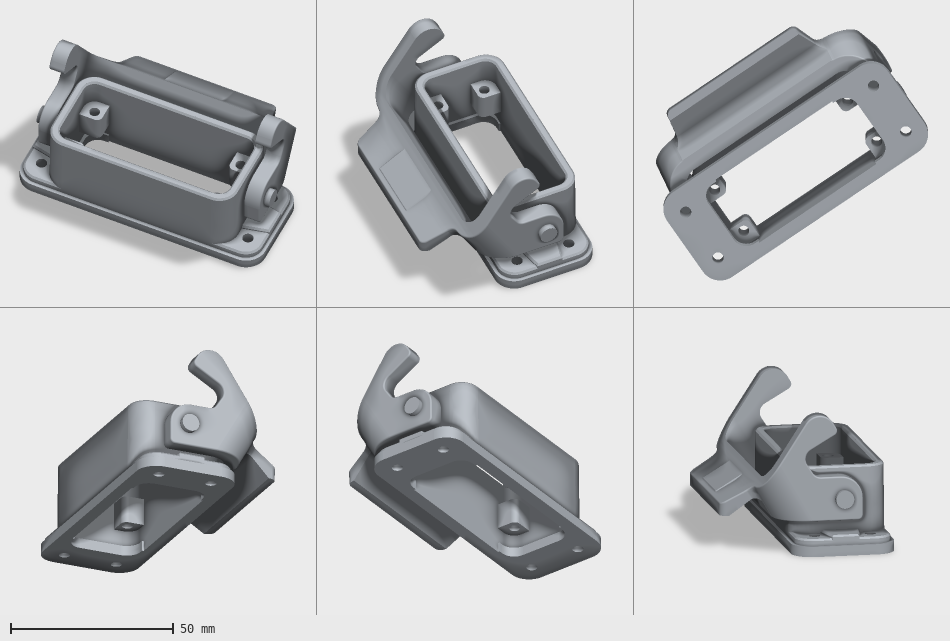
import cadquery as cq
import math

BASE_LENGTH = 82.9
BASE_WIDTH = 32.4
BASE_THICKNESS = 3.2
BASE_CORNER_RADIUS = 6.5
BASE_STEP_INSET = 0.9
STEP_TOP_Z = 5.4
STEP_LENGTH = BASE_LENGTH - 2 * BASE_STEP_INSET - 0.3
STEP_WIDTH = 30.2
STEP_CORNER_RADIUS = 5.6
EDGE_BREAK = 0.6
HOUSING_LENGTH = 63.7
HOUSING_TOP_Z = 26.3
HOUSING_CORNER_RADIUS = 6.5
OUTER_DRAFT_ANGLE = 0.7

CAVITY_LENGTH = 57.7
CAVITY_WIDTH = 24.05
CAVITY_CORNER_RADIUS = 3.8
LEDGE_START_X = 21.9
LEDGE_OPENING_LENGTH = 55.7
LEDGE_OPENING_WIDTH = 22.9
LEDGE_CORNER_RADIUS = 4.6

POST_INNER_X = 21.7
POST_INNER_Y = 5.05
POST_BOTTOM_Z = 8.6
POST_TOP_Z = 17.25
POST_EDGE_RADIUS = 1.9
POST_HOLE_X = 24.9
POST_HOLE_Y = 7.9
POST_HOLE_DIAMETER = 3.3

MOUNT_HOLE_X = 35.15
MOUNT_HOLE_Y = 8.8
MOUNT_HOLE_DIAMETER = 3.5
PAD_TOP_Z = 6.4
PAD_OUTER_HALF_WIDTH = 4.2
PAD_INNER_HALF_WIDTH = 6.3

LEVER_TILT = 30.0
LEVER_HALF_LENGTH = 37.7
ARM_THICKNESS = 5.1
BAIL_OUTER_FACE = 12.8
BAIL_WEB_THICKNESS = 3.65
BAIL_OUTER_RADIUS = 9.6
BAIL_INNER_RADIUS = 6.0
GRIP_END_Y = 36.15
GRIP_END_HALF_LENGTH = 22.9
GRIP_ROOT_HALF_LENGTH = 27.2
GRIP_CORNER_RADIUS = 2.1
GRIP_ROOT_RADIUS = 3.2
GRIP_REACH = 29.85
LEVER_BOTTOM_Z = 10.4
LEVER_EDGE_RADIUS = 0.5
LEVER_REACH = 66.3

PIN_Z = 17.25
PIN_DIAMETER = 5.6
PIN_END_X = 39.6

PANEL_LENGTH = 19.4
PANEL_TOP_EDGE = (26.0, 20.52)
PANEL_LOW_EDGE = (34.65, 15.3)
PANEL_DEPTH = 0.8
PANEL_SIDE_ANGLE = 58.0

SIDES = (-1, 1)
CORNERS = [(sx, sy) for sx in SIDES for sy in SIDES]


def rounded_block(length, width, radius, bottom, top, draft=0.0):
    """Block with rounded upright corners; a positive draft narrows it upward."""
    outline = cq.Sketch().rect(length, width).vertices().fillet(radius)
    return cq.Workplane("XY", origin=(0, 0, bottom)).placeSketch(outline).extrude(top - bottom, taper=draft)


def rounded_outline(plane, corners):
    """Closed wire through (u, v, radius) corners, each rounded by a tangent arc."""
    wire = None
    for i, (u, v, radius) in enumerate(corners):
        corner = cq.Vector(u, v)
        to_previous = (cq.Vector(*corners[i - 1][:2]) - corner).normalized()
        to_next = (cq.Vector(*corners[(i + 1) % len(corners)][:2]) - corner).normalized()
        half_angle = to_previous.getAngle(to_next) / 2
        setback = radius / math.tan(half_angle)
        start = corner + to_previous * setback
        end = corner + to_next * setback
        bisector = (to_previous + to_next).normalized()
        middle = corner + bisector * (radius / math.sin(half_angle) - radius)
        wire = wire.lineTo(start.x, start.y) if wire else plane.moveTo(start.x, start.y)
        if radius:
            wire = wire.threePointArc((middle.x, middle.y), (end.x, end.y))
    return wire.close()


def make_base():
    flange = rounded_block(BASE_LENGTH, BASE_WIDTH, BASE_CORNER_RADIUS, 0, BASE_THICKNESS)
    step = rounded_block(
        STEP_LENGTH, STEP_WIDTH, STEP_CORNER_RADIUS, BASE_THICKNESS, STEP_TOP_Z, OUTER_DRAFT_ANGLE
    )
    base = flange.union(step.faces(">Z").edges().chamfer(EDGE_BREAK))
    for side in SIDES:
        base = base.union(make_pad(side))
    return base


def make_pad(side):
    """Raised trapezoid on a base end, widening toward the housing and flush with the step's end."""
    outer_x = STEP_LENGTH / 2
    inner_x = HOUSING_LENGTH / 2 - EDGE_BREAK
    trapezoid = (
        cq.Workplane("XY", origin=(0, 0, BASE_THICKNESS))
        .polyline([
            (side * outer_x, -PAD_OUTER_HALF_WIDTH),
            (side * outer_x, PAD_OUTER_HALF_WIDTH),
            (side * inner_x, PAD_INNER_HALF_WIDTH),
            (side * inner_x, -PAD_INNER_HALF_WIDTH),
        ])
        .close()
        .extrude(PAD_TOP_Z - BASE_THICKNESS)
    )
    pad = rounded_block(
        STEP_LENGTH, STEP_WIDTH, STEP_CORNER_RADIUS, BASE_THICKNESS, PAD_TOP_Z, OUTER_DRAFT_ANGLE
    ).intersect(trapezoid)
    housing_edge = "<X" if side > 0 else ">X"
    return pad.faces(">Z").edges("not " + housing_edge).chamfer(EDGE_BREAK)


def make_housing():
    housing = rounded_block(
        HOUSING_LENGTH, STEP_WIDTH, HOUSING_CORNER_RADIUS, BASE_THICKNESS, HOUSING_TOP_Z, OUTER_DRAFT_ANGLE
    )
    return housing.faces(">Z").edges().chamfer(EDGE_BREAK)


def make_cavity():
    """Straight opening through the housing and base, with a beveled rim."""
    opening = rounded_block(CAVITY_LENGTH, CAVITY_WIDTH, CAVITY_CORNER_RADIUS, 0, HOUSING_TOP_Z)
    rim = rounded_block(
        CAVITY_LENGTH + 2 * EDGE_BREAK,
        CAVITY_WIDTH + 2 * EDGE_BREAK,
        CAVITY_CORNER_RADIUS + EDGE_BREAK,
        HOUSING_TOP_Z - EDGE_BREAK,
        HOUSING_TOP_Z,
    )
    return opening.union(rim.faces("<Z").edges().chamfer(EDGE_BREAK * 0.999))


def make_ledges(cavity):
    """Narrow shelf around each end of the cavity, level with the base flange."""
    ring = cq.Workplane("XY").box(
        CAVITY_LENGTH, CAVITY_WIDTH, BASE_THICKNESS, centered=(True, True, False)
    )
    opening = rounded_block(
        LEDGE_OPENING_LENGTH, LEDGE_OPENING_WIDTH, LEDGE_CORNER_RADIUS, 0, BASE_THICKNESS
    )
    middle = cq.Workplane("XY").box(
        2 * LEDGE_START_X, CAVITY_WIDTH, BASE_THICKNESS, centered=(True, True, False)
    )
    return ring.cut(opening).cut(middle).intersect(cavity)


def make_post(side_x, side_y, cavity):
    """Drilled post filling one corner of the cavity at mid height."""
    length = CAVITY_LENGTH / 2 - POST_INNER_X
    width = CAVITY_WIDTH / 2 - POST_INNER_Y
    block = (
        cq.Workplane("XY")
        .box(length, width, POST_TOP_Z - POST_BOTTOM_Z, centered=False)
        .edges("|Z and <X and <Y")
        .fillet(POST_EDGE_RADIUS)
        .translate((POST_INNER_X, POST_INNER_Y, POST_BOTTOM_Z))
    )
    hole = (
        cq.Workplane("XY", origin=(POST_HOLE_X, POST_HOLE_Y, POST_BOTTOM_Z))
        .circle(POST_HOLE_DIAMETER / 2)
        .extrude(POST_TOP_Z - POST_BOTTOM_Z)
    )
    post = block.cut(hole)
    if side_x < 0:
        post = post.mirror("YZ")
    if side_y < 0:
        post = post.mirror("XZ")
    return post.intersect(cavity)


def make_lever_profile():
    """Hook, arm and grip outline as (Y, Z, rounding radius), extruded along X."""
    corners = [
        (-6.0, LEVER_BOTTOM_Z, 1.5),
        (20.9, LEVER_BOTTOM_Z, 0),
        (24.9, 17.25, 2.3),
        (33.4, LEVER_BOTTOM_Z, 0),
        (GRIP_END_Y, LEVER_BOTTOM_Z, 0),
        (GRIP_END_Y, 14.3, 0),
        (25.95, 20.0, 16.6),
        (7.5, 48.25, 5.1),
        (1.5, 38.05, 1.65),
        (13.35, 31.2, 3.2),
        (8.8, 24.2, 2.9),
        (-6.0, 24.2, 7.0),
    ]
    plane = cq.Workplane("YZ", origin=(-LEVER_HALF_LENGTH, 0, 0))
    return rounded_outline(plane, corners).extrude(2 * LEVER_HALF_LENGTH)


def make_u_block(plane, half_length, face, corner_radius):
    """Block between the arms' side faces, rounded where they turn into the web face."""
    corners = [
        (half_length, -LEVER_REACH, 0),
        (half_length, face, corner_radius),
        (-half_length, face, corner_radius),
        (-half_length, -LEVER_REACH, 0),
    ]
    return rounded_outline(cq.Workplane(plane), corners).extrude(LEVER_REACH, both=True)


def make_grip(plane):
    """Tapered tongue from the web past the end of the grip."""
    web_inner_face = BAIL_OUTER_FACE - BAIL_WEB_THICKNESS
    return (
        cq.Workplane(plane)
        .polyline([
            (GRIP_ROOT_HALF_LENGTH, web_inner_face),
            (GRIP_END_HALF_LENGTH, GRIP_REACH),
            (-GRIP_END_HALF_LENGTH, GRIP_REACH),
            (-GRIP_ROOT_HALF_LENGTH, web_inner_face),
        ])
        .close()
        .extrude(LEVER_REACH, both=True)
    )


def make_lever():
    """Bail and grip in plan along the tilted arms, trimmed to the side profile."""
    tilt = math.radians(LEVER_TILT)
    upward = cq.Vector(0, math.sin(tilt), math.cos(tilt))
    plane = cq.Plane(origin=(0, 0, 0), xDir=(1, 0, 0), normal=upward)
    along_bail = cq.selectors.ParallelDirSelector(upward)

    outer = make_u_block(plane, LEVER_HALF_LENGTH, BAIL_OUTER_FACE, BAIL_OUTER_RADIUS)
    inner_half_length = LEVER_HALF_LENGTH - ARM_THICKNESS
    inner = make_u_block(plane, inner_half_length, BAIL_OUTER_FACE - BAIL_WEB_THICKNESS, BAIL_INNER_RADIUS)

    bail_corner_x = LEVER_HALF_LENGTH - BAIL_OUTER_RADIUS
    near_roots = cq.selectors.BoxSelector(
        (-bail_corner_x + 0.1, 0, -LEVER_REACH), (bail_corner_x - 0.1, LEVER_REACH, LEVER_REACH)
    )
    bail = outer.union(make_grip(plane))
    bail = bail.edges(along_bail).edges(near_roots).fillet(GRIP_ROOT_RADIUS)

    lever = bail.cut(inner).intersect(make_lever_profile())
    lever = lever.faces(">Y").edges("not |X").fillet(GRIP_CORNER_RADIUS)
    return lever.faces("<X or >X").edges(cq.selectors.InverseSelector(along_bail)).fillet(LEVER_EDGE_RADIUS)


def make_label_panel():
    """Flat panel bridging the hollow on top of the grip, with sloping sides."""
    run = PANEL_LOW_EDGE[0] - PANEL_TOP_EDGE[0]
    drop = PANEL_TOP_EDGE[1] - PANEL_LOW_EDGE[1]
    middle_y = (PANEL_TOP_EDGE[0] + PANEL_LOW_EDGE[0]) / 2
    middle_z = (PANEL_TOP_EDGE[1] + PANEL_LOW_EDGE[1]) / 2
    plane = cq.Plane(origin=(0, middle_y, middle_z), xDir=(1, 0, 0), normal=(0, drop, run))
    panel = cq.Workplane(plane).rect(PANEL_LENGTH, math.hypot(run, drop))
    return panel.extrude(-PANEL_DEPTH, taper=-PANEL_SIDE_ANGLE)


def make_pins():
    pin = cq.Workplane("YZ", origin=(-PIN_END_X, 0, PIN_Z)).circle(PIN_DIAMETER / 2)
    return pin.extrude(2 * PIN_END_X)


cavity = make_cavity()
result = make_base().union(make_housing()).union(make_lever()).union(make_label_panel())
result = result.union(make_pins()).cut(cavity).union(make_ledges(cavity))
for side_x, side_y in CORNERS:
    result = result.union(make_post(side_x, side_y, cavity))
mount_holes = [(side_x * MOUNT_HOLE_X, side_y * MOUNT_HOLE_Y) for side_x, side_y in CORNERS]
drills = cq.Workplane("XY").pushPoints(mount_holes).circle(MOUNT_HOLE_DIAMETER / 2).extrude(PAD_TOP_Z)
result = result.cut(drills)